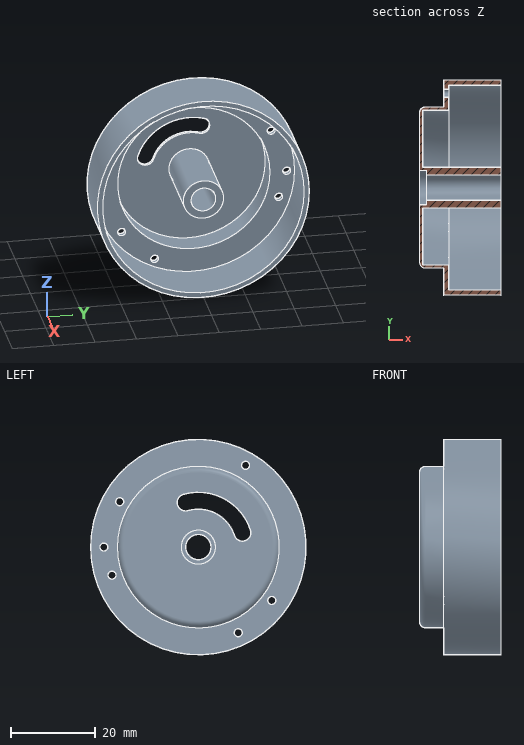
import cadquery as cq
import math

body_radius = 25.6
body_length = 13.65
boss_radius = 19.2
boss_length = 5.75
boss_fillet = 1.5
total_length = boss_length + body_length

boss_wall = 0.8
body_wall = 1.3
body_cavity_radius = body_radius - body_wall
boss_cavity_radius = boss_radius - boss_wall

hub_radius = 4.85
bore_radius = 2.95
counterbore_radius = 4.05
counterbore_depth = 1.7

slot_center_radius = 11.0
slot_width = 3.95
slot_start_angle = 18
slot_end_angle = 106

hole_radius = 0.9
outer_pitch_radius = 22.4
outer_hole_angles = (60, 180, 295)
inner_pitch_radius = 21.55
inner_hole_angles = (150, 198, 324)


def cylinder(radius, start, end):
    """Cylinder on the part axis between two X positions."""
    return cq.Workplane("YZ", origin=(start, 0, 0)).circle(radius).extrude(end - start)


def polar(radius, angle):
    """Y, Z position at an angle from -Y toward +Z."""
    turn = math.radians(angle)
    return (-radius * math.cos(turn), radius * math.sin(turn))


def make_shell():
    boss = cylinder(boss_radius, 0, boss_length).faces("<X").edges().fillet(boss_fillet)
    body = cylinder(body_radius, boss_length, total_length)
    boss_cavity = cylinder(boss_cavity_radius, boss_wall, total_length)
    body_cavity = cylinder(body_cavity_radius, boss_length + body_wall, total_length)
    return boss.union(body).cut(boss_cavity).cut(body_cavity)


def make_slot():
    inner_radius = slot_center_radius - slot_width / 2
    outer_radius = slot_center_radius + slot_width / 2
    middle_angle = (slot_start_angle + slot_end_angle) / 2
    end_turn = math.degrees(slot_width / 2 / slot_center_radius)
    return (
        cq.Workplane("YZ")
        .moveTo(*polar(inner_radius, slot_start_angle))
        .threePointArc(polar(inner_radius, middle_angle), polar(inner_radius, slot_end_angle))
        .threePointArc(
            polar(slot_center_radius, slot_end_angle + end_turn),
            polar(outer_radius, slot_end_angle),
        )
        .threePointArc(polar(outer_radius, middle_angle), polar(outer_radius, slot_start_angle))
        .threePointArc(
            polar(slot_center_radius, slot_start_angle - end_turn),
            polar(inner_radius, slot_start_angle),
        )
        .close()
        .extrude(boss_wall)
    )


def make_flange_holes():
    centers = [polar(outer_pitch_radius, angle) for angle in outer_hole_angles]
    centers += [polar(inner_pitch_radius, angle) for angle in inner_hole_angles]
    flange = cq.Workplane("YZ", origin=(boss_length, 0, 0))
    return flange.pushPoints(centers).circle(hole_radius).extrude(body_wall)


hub = cylinder(hub_radius, 0, total_length)
bore = cylinder(bore_radius, 0, total_length)
counterbore = cylinder(counterbore_radius, 0, counterbore_depth)

result = make_shell().union(hub).cut(bore).cut(counterbore)
result = result.cut(make_slot()).cut(make_flange_holes())